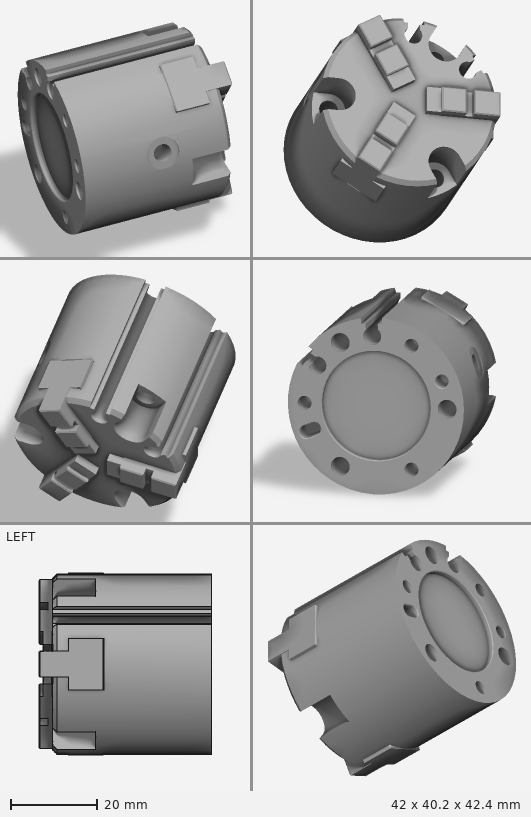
import cadquery as cq
import math


overall_height = 42.35
housing_diameter = 42.0
housing_radius = housing_diameter / 2
housing_length = 37.0
rim_chamfer = 1.0
edge_break = 0.2

jaw_angles = (60, 180, 300)
jaw_width = 6.0
jaw_rise = 3.2
jaw_plate_thickness = 2.0
jaw_chamfer = 0.3
jaw_top = housing_length + jaw_rise
jaw_back = housing_radius - jaw_plate_thickness
jaw_tip_radius = 3.55
tip_step_radius = 7.05
tip_step_depth = 1.0
tip_clearance = 0.2
jaw_notch_radius = 12.9
jaw_notch_width = 1.9
jaw_notch_depth = 2.08
shoe_top = jaw_top - 6.85
shoe_bottom = jaw_top - 15.2
shoe_width = (overall_height - housing_diameter * math.sin(math.radians(60))) / math.cos(math.radians(60))

bolt_circle_radius = 17.0
mount_hole_angles = (0, 120, 240)
mount_hole_diameter = 4.5
head_pocket_width = 8.0
head_pocket_depth = 10.0
thread_hole_angles = (60, 180, 300)
thread_hole_diameter = 3.3
thread_hole_depth = 8.47
drill_point_angle = 118
dowel_angle = 22.5
dowel_diameter = 3.0
dowel_depth = 6.0
key_slot_angle = 180 + dowel_angle
key_slot_spacing = 2.1

groove_mid_angle = 120
groove_spread = 27
groove_bore_radius = 16.6
groove_bore_diameter = 4.25
groove_neck_width = 2.9
groove_mouth_width = 5.0
groove_mouth_floor = 19.5

port_angle = 20
port_height = 20.0
port_spotface_diameter = 8.0
port_diameter = 4.32
port_depth = 6.0
port_spotface_floor = math.sqrt(housing_radius**2 - (port_spotface_diameter / 2) ** 2)

cover_diameter = 25.85
cover_recess = 1.5
cover_thickness = 2.0


def turned(shape, angle):
    """Swing a shape built along +X to the given angle about the gripper axis."""
    return shape.rotate((0, 0, 0), (0, 1, 0), -angle)


def round_bar(diameter, start, length, radius=0.0):
    """Cylinder parallel to Y, centred at a distance from the axis along +X."""
    return (
        cq.Workplane("XZ", origin=(radius, start, 0))
        .circle(diameter / 2)
        .extrude(-length)
    )


def radial_block(inner, outer, width, bottom, top):
    """Box spanning radii inner to outer and heights bottom to top, centred on Z = 0."""
    return (
        cq.Workplane("XY")
        .box(outer - inner, top - bottom, width, centered=(False, False, True))
        .translate((inner, bottom, 0))
    )


def blind_hole(diameter, depth):
    """Drilled hole with a conical bottom, on the bolt circle along +X."""
    radius = diameter / 2
    point_height = radius / math.tan(math.radians(drill_point_angle / 2))
    return (
        cq.Workplane("XY")
        .polyline([(0, 0), (radius, 0), (radius, depth), (0, depth + point_height)])
        .close()
        .revolve(360, (0, 0, 0), (0, 1, 0))
        .translate((bolt_circle_radius, 0, 0))
    )


def mouth_chamfer(diameter, radius=0.0):
    """Cone that breaks the edge of a hole in the mounting face."""
    return (
        cq.Workplane("XZ", origin=(radius, 0, 0))
        .circle(diameter / 2 + edge_break)
        .workplane(offset=-edge_break)
        .circle(diameter / 2)
        .loft()
    )


def head_pocket():
    """U-shaped pocket for a screw head, open to the end face and to the side."""
    floor = housing_length - head_pocket_depth
    seat = round_bar(head_pocket_width, floor, head_pocket_depth, bolt_circle_radius)
    opening = radial_block(
        bolt_circle_radius, housing_diameter, head_pocket_width, floor, housing_length
    )
    return seat.union(opening)


def sensor_groove():
    """Round-bottomed groove with a narrow neck and a wider mouth."""
    bore = round_bar(groove_bore_diameter, 0, housing_length, groove_bore_radius)
    neck = radial_block(groove_bore_radius, housing_diameter, groove_neck_width, 0, housing_length)
    mouth = radial_block(groove_mouth_floor, housing_diameter, groove_mouth_width, 0, housing_length)
    return bore.union(neck).union(mouth)


def key_slot():
    """Radial round-ended slot with a broken edge."""
    length = key_slot_spacing + dowel_diameter
    slot = (
        cq.Workplane("XZ", origin=(bolt_circle_radius, 0, 0))
        .slot2D(length, dowel_diameter)
        .extrude(-dowel_depth)
    )
    slot_mouth = (
        cq.Workplane("XZ", origin=(bolt_circle_radius, 0, 0))
        .slot2D(length + 2 * edge_break, dowel_diameter + 2 * edge_break)
        .extrude(-edge_break, taper=45)
    )
    return slot.union(slot_mouth)


def air_port():
    """Radial port with a flat round spot face."""
    spotface_plane = cq.Workplane("YZ", origin=(port_spotface_floor, port_height, 0))
    spotface = spotface_plane.circle(port_spotface_diameter / 2).extrude(housing_radius)
    bore = spotface_plane.circle(port_diameter / 2).extrude(-port_depth)
    return spotface.union(bore)


def jaw_plate():
    """T-shaped plate of a jaw that lies in the side of the housing."""
    arm = radial_block(jaw_back, housing_radius, jaw_width, shoe_bottom, jaw_top)
    shoe = radial_block(jaw_back, housing_radius, shoe_width, shoe_bottom, shoe_top)
    return arm.union(shoe)


def make_jaw():
    """One jaw along +X."""
    finger = (
        cq.Workplane("XY")
        .polyline(
            [
                (housing_radius, housing_length),
                (tip_step_radius, housing_length),
                (tip_step_radius, housing_length + tip_clearance),
                (jaw_tip_radius, housing_length + tip_clearance),
                (jaw_tip_radius, jaw_top - tip_step_depth),
                (tip_step_radius, jaw_top - tip_step_depth),
                (tip_step_radius, jaw_top),
                (housing_radius, jaw_top),
            ]
        )
        .close()
        .extrude(jaw_width / 2, both=True)
    )
    notch = radial_block(
        jaw_notch_radius,
        jaw_notch_radius + jaw_notch_width,
        shoe_width,
        jaw_top - jaw_notch_depth,
        jaw_top,
    )
    jaw = finger.union(jaw_plate()).cut(notch).clean()
    jaw = jaw.faces(">Y").edges().chamfer(jaw_chamfer)
    return jaw.faces("<Y").edges().chamfer(jaw_chamfer)


def make_cover():
    """Plain disc that closes the mounting side of the housing."""
    return round_bar(cover_diameter, cover_recess, cover_thickness)


def make_housing():
    """Cylinder with the pockets, grooves and holes, and the seats of the other bodies."""
    housing = round_bar(housing_diameter, 0, housing_length)
    housing = housing.faces(">Y").edges().chamfer(rim_chamfer)

    for angle in jaw_angles:
        housing = housing.cut(turned(jaw_plate(), angle))

    mount_hole = round_bar(mount_hole_diameter, 0, housing_length, bolt_circle_radius)
    for angle in mount_hole_angles:
        housing = housing.cut(turned(mount_hole.union(head_pocket()), angle))

    for angle in thread_hole_angles:
        housing = housing.cut(turned(blind_hole(thread_hole_diameter, thread_hole_depth), angle))

    dowel_hole = blind_hole(dowel_diameter, dowel_depth).union(
        mouth_chamfer(dowel_diameter, bolt_circle_radius)
    )
    housing = housing.cut(turned(dowel_hole, dowel_angle))
    housing = housing.cut(turned(key_slot(), key_slot_angle))

    for side in (-1, 1):
        housing = housing.cut(turned(sensor_groove(), groove_mid_angle + side * groove_spread))

    housing = housing.cut(turned(air_port(), port_angle))

    cover_seat = round_bar(cover_diameter, 0, cover_recess + cover_thickness)
    return housing.cut(cover_seat).cut(mouth_chamfer(cover_diameter))


housing = make_housing()
cover = make_cover()
jaws = [turned(make_jaw(), angle) for angle in jaw_angles]

result = cq.Compound.makeCompound([housing.val(), cover.val(), *[jaw.val() for jaw in jaws]])